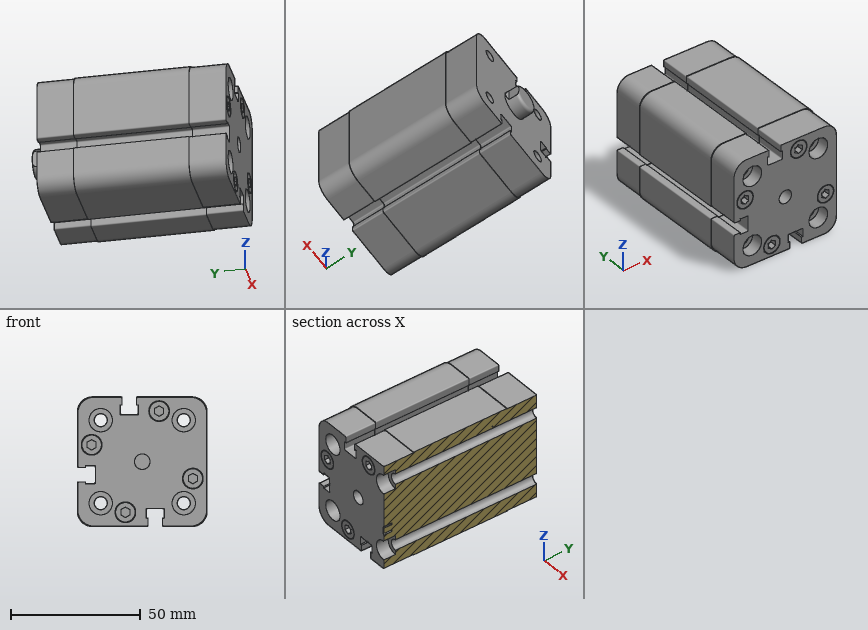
import cadquery as cq
import math

CAP_LENGTH = 14.5
BODY_LENGTH = 45.5
ROD_LENGTH = 6.0
BODY_START = CAP_LENGTH
REAR_CAP_START = BODY_START + BODY_LENGTH
ROD_START = REAR_CAP_START + CAP_LENGTH

BODY_SIDE = 50.1
CAP_SIDE = 49.6
CORNER_RADIUS = 6.0

SLOT_OFFSET = 5.0
BODY_SLOT_OPENING = 5.5
CAP_SLOT_OPENING = 5.6
SLOT_LIP_RADIUS = 0.5
BODY_CAVITY_WIDTH = 6.7
CAP_CAVITY_WIDTH = 7.1
CAVITY_TOP = 21.8
BODY_CAVITY_FLOOR = 18.1
CAP_CAVITY_FLOOR = 18.0
CAVITY_CORNER_RADIUS = 0.5
SLOT_ANGLES = (0, 90, 180)

MOUNT_SPACING = 32.0
MOUNT_HOLE_DIAMETER = 4.92
MOUNT_BORE_DIAMETER = 9.0
MOUNT_BORE_DEPTH = 5.7

SCREW_ACROSS = 6.5
SCREW_OUT = 19.5
SCREW_ANGLES = (0, 90, 180, 270)
SCREW_SEAT_DIAMETER = 8.0
SCREW_HEAD_DIAMETER = 7.5
SCREW_HEAD_HEIGHT = 4.0
SOCKET_ACROSS_FLATS = 3.5
SOCKET_DEPTH = 3.0
HALF_HEX_ANGLE = 30

CENTRE_HOLE_DIAMETER = 6.0
CENTRE_HOLE_DEPTH = 6.0

ROD_DIAMETER = 12.0
ROD_TIP_RADIUS = 1.3
ROD_ACROSS_FLATS = 10.0
FLAT_LENGTH = 4.6


def front_plane(y):
    """XZ plane at the given Y, with its normal pointing to +Y and local X along -X."""
    return cq.Workplane(cq.Plane(origin=(0, y, 0), xDir=(-1, 0, 0), normal=(0, 1, 0)))


def cylinder(x, z, diameter, start, length):
    """Cylinder along +Y centred on (x, z)."""
    return front_plane(start).center(-x, z).circle(diameter / 2).extrude(length)


def turned(x, z, angle):
    """Rotate the point (x, z) about the Y axis, anticlockwise as seen from -Y."""
    c = math.cos(math.radians(angle))
    s = math.sin(math.radians(angle))
    return x * c - z * s, x * s + z * c


def slot_cutter(side, opening, cavity_width, cavity_floor, start, length):
    """Slot in the top face, to be turned to the other faces."""
    top = side / 2
    half_opening = opening / 2
    half_cavity = cavity_width / 2
    half_mouth = half_opening + SLOT_LIP_RADIUS
    lip = top - SLOT_LIP_RADIUS
    half_floor = half_cavity - CAVITY_CORNER_RADIUS
    corner = cavity_floor + CAVITY_CORNER_RADIUS
    profile = (
        front_plane(start)
        .center(SLOT_OFFSET, 0)
        .moveTo(-half_floor, cavity_floor)
        .radiusArc((-half_cavity, corner), CAVITY_CORNER_RADIUS)
        .lineTo(-half_cavity, CAVITY_TOP)
        .lineTo(-half_opening, CAVITY_TOP)
        .lineTo(-half_opening, lip)
        .radiusArc((-half_mouth, top), -SLOT_LIP_RADIUS)
        .lineTo(half_mouth, top)
        .radiusArc((half_opening, lip), -SLOT_LIP_RADIUS)
        .lineTo(half_opening, CAVITY_TOP)
        .lineTo(half_cavity, CAVITY_TOP)
        .lineTo(half_cavity, corner)
        .radiusArc((half_floor, cavity_floor), CAVITY_CORNER_RADIUS)
        .close()
    )
    return profile.extrude(length)


def section(side, opening, cavity_width, cavity_floor, start, length):
    """Rounded square bar with a slot in its top, left and bottom faces."""
    block = front_plane(start).rect(side, side).extrude(length)
    block = block.edges("|Y").fillet(CORNER_RADIUS)
    slot = slot_cutter(side, opening, cavity_width, cavity_floor, start, length)
    for angle in SLOT_ANGLES:
        block = block.cut(slot.rotate((0, 0, 0), (0, 1, 0), -angle))
    return block


def piston_rod():
    """Round rod with a rounded tip and two flats that run out at 45 degrees."""
    rod = cylinder(0, 0, ROD_DIAMETER, ROD_START, ROD_LENGTH)
    rod = rod.faces(">Y").edges().fillet(ROD_TIP_RADIUS)
    tip = ROD_START + ROD_LENGTH
    flat = ROD_ACROSS_FLATS / 2
    rim = ROD_DIAMETER / 2
    flat_end = tip - FLAT_LENGTH
    for side in (-1, 1):
        cutter = (
            cq.Workplane("XY")
            .workplane(offset=-rim)
            .polyline([
                (side * flat, tip),
                (side * flat, flat_end),
                (side * rim, flat_end - (rim - flat)),
                (side * rim, tip),
            ])
            .close()
            .extrude(ROD_DIAMETER)
        )
        rod = rod.cut(cutter)
    return rod


def cut_mounting_holes(body):
    """Through holes with a wide bore in the front cap."""
    half = MOUNT_SPACING / 2
    for x in (-half, half):
        for z in (-half, half):
            body = body.cut(cylinder(x, z, MOUNT_HOLE_DIAMETER, 0, ROD_START))
            body = body.cut(cylinder(x, z, MOUNT_BORE_DIAMETER, 0, MOUNT_BORE_DEPTH))
    return body


def cut_screws(body):
    """Gap around each flush screw head, and its hexagon socket."""
    socket_diameter = SOCKET_ACROSS_FLATS / math.cos(math.radians(HALF_HEX_ANGLE))
    for angle in SCREW_ANGLES:
        x, z = turned(SCREW_ACROSS, SCREW_OUT, angle)
        seat = cylinder(x, z, SCREW_SEAT_DIAMETER, 0, SCREW_HEAD_HEIGHT)
        head = cylinder(x, z, SCREW_HEAD_DIAMETER, 0, SCREW_HEAD_HEIGHT)
        socket = (
            front_plane(0)
            .center(-x, z)
            .transformed(rotate=(0, 0, HALF_HEX_ANGLE))
            .polygon(6, socket_diameter)
            .extrude(SOCKET_DEPTH)
        )
        body = body.cut(seat.cut(head)).cut(socket)
    return body


front_cap = section(CAP_SIDE, CAP_SLOT_OPENING, CAP_CAVITY_WIDTH, CAP_CAVITY_FLOOR, 0, CAP_LENGTH)
rear_cap = front_cap.translate((0, REAR_CAP_START, 0))
profile_body = section(
    BODY_SIDE, BODY_SLOT_OPENING, BODY_CAVITY_WIDTH, BODY_CAVITY_FLOOR, BODY_START, BODY_LENGTH
)
actuator = front_cap.union(profile_body).union(rear_cap).union(piston_rod())
actuator = cut_mounting_holes(actuator)
actuator = cut_screws(actuator)
result = actuator.cut(cylinder(0, 0, CENTRE_HOLE_DIAMETER, 0, CENTRE_HOLE_DEPTH))